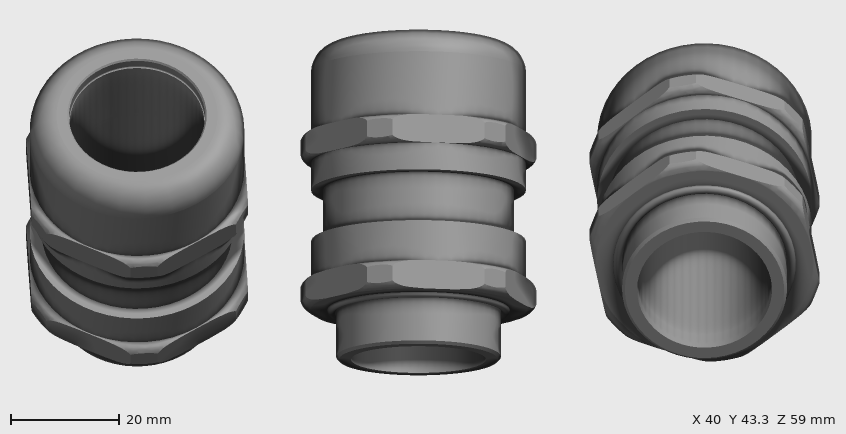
import cadquery as cq
import math

total_height = 59.0
body_hex_bottom_z = 9.3
body_hex_top_z = 14.7
collar_top_z = 22.25
cap_bottom_z = 31.8
cap_hex_bottom_z = 36.9
cap_hex_top_z = 42.1

hex_across_flats = 40.0
hex_across_corners = 43.3
hex_disc_radius = 21.9
body_hex_round = 1.9
cap_hex_round = 1.7
hex_point_angle = 30.0

barrel_radius = 19.8
neck_radius = 17.65
thread_radius = 15.2
thread_chamfer = 0.55
passage_radius = 12.45

crown_radius = 4.95
cap_bore_radius = 12.55
cap_bore_chamfer = 0.3
cap_lip_height = 2.0

seal_outer_radius = 15.35
seal_top_z = 56.6
seal_bottom_z = 42.3
thrust_ring_height = 0.95

o_ring_section_radius = 0.8

lip_bottom_z = total_height - cap_lip_height
neck_top_z = seal_bottom_z - thrust_ring_height
o_ring_path_radius = thread_radius + o_ring_section_radius


def cylinder(radius, bottom_z, top_z):
    """Solid upright cylinder on the Z axis."""
    return cq.Workplane("XY").workplane(offset=bottom_z).circle(radius).extrude(top_z - bottom_z)


def tube(outer_radius, bottom_z, top_z):
    """Upright ring around the cable passage."""
    return cylinder(outer_radius, bottom_z, top_z).cut(cylinder(passage_radius, bottom_z, top_z))


def hexagonal_prism(across_flats, bottom_z, top_z):
    """Hexagonal prism with points on +X and -X."""
    across_points = across_flats / math.cos(math.radians(hex_point_angle))
    plane = cq.Workplane("XY").workplane(offset=bottom_z)
    return plane.polygon(6, across_points).extrude(top_z - bottom_z)


def wrench_hexagon(bottom_z, top_z, rim_round):
    """Hexagon with flats facing +X and -X, its points cut to small flats and its rims rounded."""
    main_flats = hexagonal_prism(hex_across_flats, bottom_z, top_z)
    main_flats = main_flats.rotate((0, 0, 0), (0, 0, 1), hex_point_angle)
    corner_flats = hexagonal_prism(hex_across_corners, bottom_z, top_z)
    rounded_disc = cylinder(hex_disc_radius, bottom_z, top_z).faces("|Z").edges().fillet(rim_round)
    return main_flats.intersect(corner_flats).intersect(rounded_disc)


def make_o_ring():
    """Round-section ring around the thread, centred on the underside of the body hexagon."""
    centre = cq.Vector(0, 0, body_hex_bottom_z)
    return cq.Workplane(obj=cq.Solid.makeTorus(o_ring_path_radius, o_ring_section_radius, centre))


def make_body():
    """Threaded spigot, hexagon, collar and neck with a through passage and an O-ring groove."""
    spigot = cylinder(thread_radius, 0, body_hex_bottom_z).faces("<Z").chamfer(thread_chamfer)
    outside = (
        spigot.union(wrench_hexagon(body_hex_bottom_z, body_hex_top_z, body_hex_round))
        .union(cylinder(barrel_radius, body_hex_top_z, collar_top_z))
        .union(cylinder(neck_radius, collar_top_z, neck_top_z))
    )
    return outside.cut(cylinder(passage_radius, 0, neck_top_z)).cut(make_o_ring())


def make_cap():
    """Domed cap nut with its own hexagon, stepped inside for the neck, thrust ring and seal."""
    barrel = cylinder(barrel_radius, cap_bottom_z, total_height).faces(">Z").edges().fillet(crown_radius)
    cap = (
        barrel.union(wrench_hexagon(cap_hex_bottom_z, cap_hex_top_z, cap_hex_round))
        .cut(cylinder(neck_radius, cap_bottom_z, seal_bottom_z))
        .cut(cylinder(seal_outer_radius, seal_bottom_z, lip_bottom_z))
        .cut(cylinder(cap_bore_radius, lip_bottom_z, total_height))
    )
    bore_rim = cq.selectors.RadiusNthSelector(0)
    return cap.faces(">Z").edges(bore_rim).chamfer(cap_bore_chamfer)


def make_seal():
    """Sealing sleeve inside the cap, ending just short of the lip."""
    return tube(seal_outer_radius, seal_bottom_z, seal_top_z)


def make_thrust_ring():
    """Flat ring that carries the seal on the top of the neck."""
    return tube(neck_radius, neck_top_z, seal_bottom_z)


body = make_body()
o_ring = make_o_ring()
thrust_ring = make_thrust_ring()
seal = make_seal()
cap = make_cap()

bodies = [body, o_ring, thrust_ring, seal, cap]
result = cq.Compound.makeCompound([part.solids().val() for part in bodies])